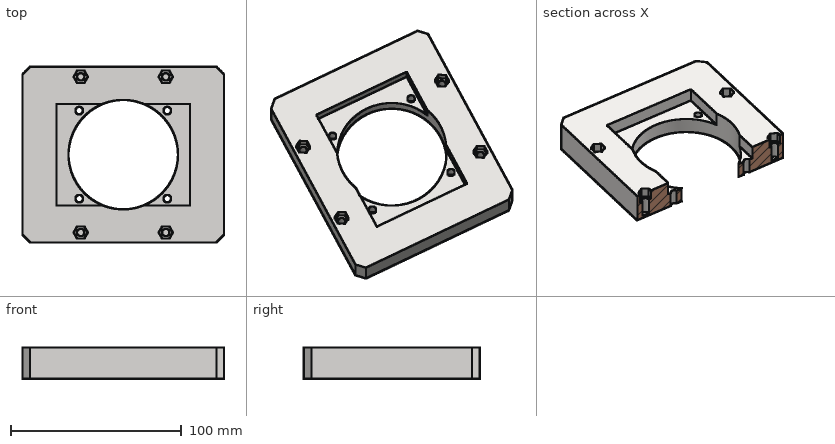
import cadquery as cq
import math

plate_length = 118.2
plate_width = 103.1
plate_height = 18.5
corner_chamfer = 4.57

bore_diameter = 64.0
recess_length = 78.3
recess_width = 59.3
recess_depth = 8.5

screw_hole_diameter = 4.3
screw_spacing = 51.6

nut_across_flats = 7.2
nut_across_corners = nut_across_flats / math.cos(math.pi / 6)
nut_pocket_depth = 6.0
bolt_hole_diameter = 4.3
bolt_hole_bottom_wall = 2.0
bolt_spacing_x = 49.8
bolt_spacing_y = 91.2


def make_plate():
    """Rectangular plate on Z = 0 with its four vertical edges chamfered."""
    plate = cq.Workplane("XY").box(plate_length, plate_width, plate_height, centered=(True, True, False))
    return plate.edges("|Z").chamfer(corner_chamfer)


def top_plane():
    """Workplane on the upper face of the plate."""
    return cq.Workplane("XY").workplane(offset=plate_height)


def cut_opening(body):
    """Rectangular recess from above, with the round bore through the full height."""
    recess = top_plane().rect(recess_length, recess_width).extrude(-recess_depth)
    bore = top_plane().circle(bore_diameter / 2).extrude(-plate_height)
    return body.cut(recess).cut(bore)


def cut_screw_holes(body):
    """Four holes through the recess floor."""
    pattern = top_plane().rect(screw_spacing, screw_spacing, forConstruction=True).vertices()
    return body.cut(pattern.circle(screw_hole_diameter / 2).extrude(-plate_height))


def cut_nut_pockets(body):
    """Four hexagonal pockets with corners along X, each continued by a blind round hole."""
    pattern = top_plane().rect(bolt_spacing_x, bolt_spacing_y, forConstruction=True).vertices()
    bolt_hole_depth = plate_height - bolt_hole_bottom_wall
    pockets = pattern.polygon(6, nut_across_corners).extrude(-nut_pocket_depth)
    bolt_holes = pattern.circle(bolt_hole_diameter / 2).extrude(-bolt_hole_depth)
    return body.cut(pockets).cut(bolt_holes)


result = make_plate()
result = cut_opening(result)
result = cut_screw_holes(result)
result = cut_nut_pockets(result)